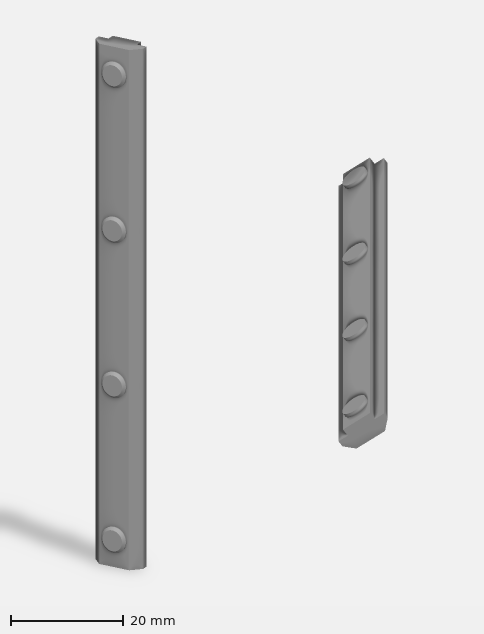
import cadquery as cq

rail_length = 100.0
rail_depth = 4.5
flange_width = 9.8
neck_width = 5.8
neck_depth = 1.5
flange_edge_depth = 1.2
slope_fillet = 0.5

screw_diameter = 5.0
screw_length = 6.0
screw_back_overhang = 0.8
screw_tip_chamfer = 0.5
screw_count = 4
screw_pitch = 29.8

first_screw_z = -screw_pitch * (screw_count - 1) / 2
screw_heights = [first_screw_z + i * screw_pitch for i in range(screw_count)]


def screw_cylinder(z):
    """Plain screw body running toward -Y from behind the rail."""
    return (
        cq.Workplane("XZ", origin=(0, screw_back_overhang, z))
        .circle(screw_diameter / 2)
        .extrude(screw_length)
    )


def make_screw(z):
    return screw_cylinder(z).faces("<Y").chamfer(screw_tip_chamfer)


def make_rail():
    half_flange = flange_width / 2
    half_neck = neck_width / 2
    slope_start = neck_depth + flange_edge_depth
    half_front = half_flange - (rail_depth - slope_start)
    profile = [
        (-half_neck, 0),
        (half_neck, 0),
        (half_neck, -neck_depth),
        (half_flange, -neck_depth),
        (half_flange, -slope_start),
        (half_front, -rail_depth),
        (-half_front, -rail_depth),
        (-half_flange, -slope_start),
        (-half_flange, -neck_depth),
        (-half_neck, -neck_depth),
    ]
    rail = (
        cq.Workplane("XY", origin=(0, 0, -rail_length / 2))
        .polyline(profile)
        .close()
        .extrude(rail_length)
    )

    for x, y in [(half_flange, slope_start), (half_front, rail_depth)]:
        for side in (-1, 1):
            corner = cq.NearestToPointSelector((side * x, -y, 0))
            rail = rail.edges("|Z").edges(corner).fillet(slope_fillet)

    for z in screw_heights:
        rail = rail.cut(screw_cylinder(z))
    return rail


rail = make_rail()
screws = [make_screw(z) for z in screw_heights]

result = cq.Compound.makeCompound([rail.val(), *[screw.val() for screw in screws]])